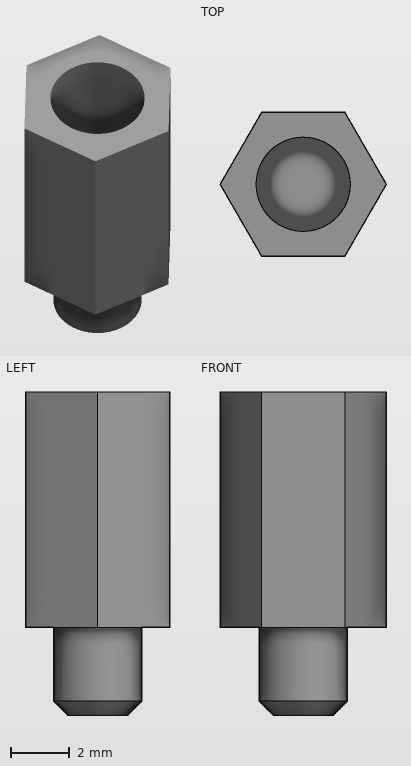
import cadquery as cq
import math

total_length = 11.0
stud_length = 3.0
stud_diameter = 3.0
tip_chamfer = 0.5
across_flats = 4.9
bore_diameter = 3.2
bore_depth = 5.0

body_length = total_length - stud_length
across_corners = across_flats / math.cos(math.radians(30))

body = cq.Workplane("XY").polygon(6, across_corners).extrude(body_length)

stud = (
    cq.Workplane("XY")
    .circle(stud_diameter / 2)
    .extrude(-stud_length)
    .faces("<Z")
    .chamfer(tip_chamfer)
)

bore = (
    cq.Workplane("XY", origin=(0, 0, body_length))
    .circle(bore_diameter / 2)
    .extrude(-bore_depth)
)

result = body.union(stud).cut(bore)